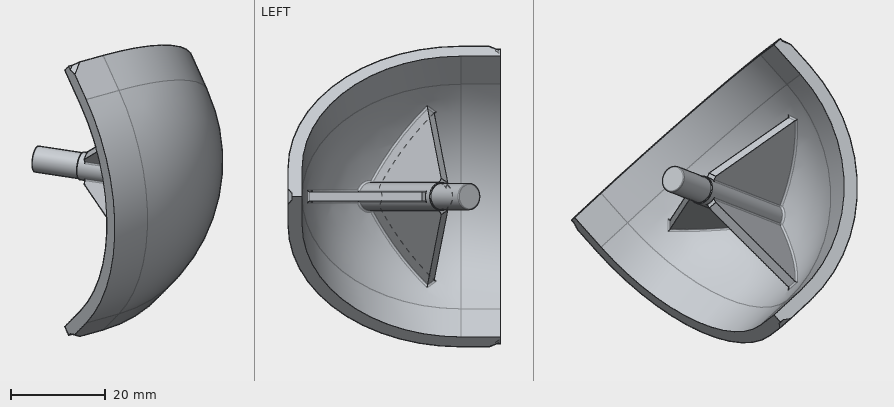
import cadquery as cq
import math

outer_side = 63.65 / math.sqrt(2)
flat_margin = 8.4
wall = 3.0
inner_side = outer_side - wall
outer_radius = outer_side - flat_margin
inner_radius = inner_side - flat_margin
sphere_centre = cq.Vector(flat_margin, flat_margin, flat_margin)

recess_rim_corner = 2.4
recess_floor_corner = 0.9
recess_depth = 0.9

pin_start = 11.45
pin_radius = 2.8
pin_tip_round = 0.2
stem_start = 21.6
stem_radius = 3.0
stem_chamfer = 0.2
sphere_centre_distance = flat_margin * math.sqrt(3)
wall_middle = sphere_centre_distance + inner_radius + wall / 2

rib_thickness = 2.0
rib_start = 23.3
rib_step_radius = 3.9
root_fillet = 0.4

part_frame = cq.Plane(origin=(0, 0, 0), xDir=(1, 0, 1), normal=(0, 1, 0))
diagonal = cq.Vector(1, 1, 1).normalized()
stem_plane = cq.Plane(origin=(0, 0, 0), xDir=(-1, -1, 2), normal=(1, 1, 1))


def rounded_corner(side, radius):
    near = side * 0.4
    far = side * 1.1
    block = cq.Workplane("XY").box(side, side, side, centered=False)
    return block.edges(cq.selectors.BoxSelector((near,) * 3, (far,) * 3)).fillet(radius)


def make_shell():
    shell = rounded_corner(outer_side, outer_radius).cut(rounded_corner(inner_side, inner_radius))
    for plane_name in ("XY", "YZ", "ZX"):
        recess = (
            cq.Workplane(plane_name)
            .workplane(offset=outer_side - recess_depth)
            .polygon(4, 2 * recess_floor_corner)
            .workplane(offset=recess_depth)
            .polygon(4, 2 * recess_rim_corner)
            .loft(ruled=True)
        )
        shell = shell.cut(recess)
    return shell


def make_pin():
    length = stem_start + stem_chamfer - pin_start
    pin = cq.Workplane(stem_plane).workplane(offset=pin_start).circle(pin_radius).extrude(length)
    return pin.faces(cq.selectors.DirectionMinMaxSelector(diagonal, False)).edges().fillet(pin_tip_round)


def make_stem():
    length = wall_middle - stem_start
    stem = cq.Workplane(stem_plane).workplane(offset=stem_start).circle(stem_radius).extrude(length)
    return stem.faces(cq.selectors.DirectionMinMaxSelector(diagonal, False)).edges().chamfer(stem_chamfer)


def make_rib():
    reach = inner_radius + wall / 2
    lead = rib_start - rib_step_radius - sphere_centre_distance
    tip_radius = (math.sqrt(2 * reach**2 - lead**2) - lead) / 2
    tip_distance = tip_radius + rib_start - rib_step_radius
    middle_angle = math.atan2(tip_distance - sphere_centre_distance, tip_radius) / 2 + math.pi / 4
    arc_middle = (
        reach * math.cos(middle_angle),
        sphere_centre_distance + reach * math.sin(middle_angle),
    )
    rib_plane = cq.Plane(origin=(0, 0, 0), xDir=(-1, -1, 2), normal=(-1, 1, 0))
    return (
        cq.Workplane(rib_plane)
        .moveTo(0, rib_start)
        .lineTo(rib_step_radius, rib_start)
        .lineTo(tip_radius, tip_distance)
        .threePointArc(arc_middle, (0, wall_middle))
        .close()
        .extrude(rib_thickness / 2, both=True)
    )


def is_root_edge(edge):
    """True where a rib meets the stem, or where the ribs and stem meet the inner sphere."""
    tolerance = 0.005
    support_reach = inner_radius * 0.7
    points = [edge.positionAt(place) for place in (0, 0.3, 0.5, 1)]
    on_sphere = all(abs((point - sphere_centre).Length - inner_radius) < tolerance for point in points)
    on_stem = all(abs(point.cross(diagonal).Length - stem_radius) < tolerance for point in points)
    inside_support = all(point.cross(diagonal).Length < support_reach for point in points)
    along_stem = edge.geomType() == "LINE" and on_stem and edge.Length() > stem_radius
    return (on_sphere and inside_support) or along_stem


supports = make_stem()
for index in range(3):
    supports = supports.union(make_rib().rotate((0, 0, 0), diagonal.toTuple(), index * 120))

body = make_shell().union(supports)
body = body.newObject([edge for edge in body.edges().vals() if is_root_edge(edge)]).fillet(root_fillet)
body = body.union(make_pin())
result = cq.Workplane("XY").newObject([body.val().moved(cq.Location(part_frame))])